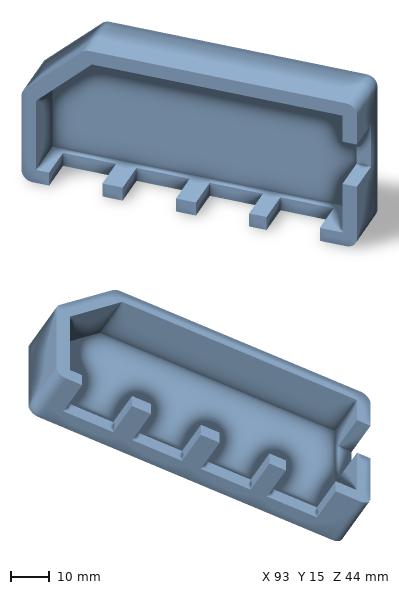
import cadquery as cq

length = 93.0
depth = 15.0
height = 44.0
wall = 4.0
floor_thickness = 3.0
corner_radius = 3.0

outer_slope_run = 17.6
outer_slope_rise = 16.6
inner_slope_run = 15.5
inner_slope_rise = 14.7

notch_depth = 10.15
bottom_notch_width = 14.75
bottom_notch_starts = (7.65, 28.05, 48.35, 67.95)
side_notch_bottom = 19.0
side_notch_height = 13.0


def clipped_block(x_min, x_max, z_min, z_max, run, rise, y_length):
    """Block from Y = 0 to y_length with its low-X, high-Z corner cut off."""
    outline = [
        (x_min, z_min),
        (x_max, z_min),
        (x_max, z_max),
        (x_min + run, z_max),
        (x_min, z_max - rise),
    ]
    return cq.Workplane("XZ").polyline(outline).close().extrude(-y_length)


def make_tray():
    body = clipped_block(0, length, 0, height, outer_slope_run, outer_slope_rise, depth)
    body = body.edges("|Y").fillet(corner_radius)
    pocket = clipped_block(
        wall, length - wall, wall, height - wall,
        inner_slope_run, inner_slope_rise, depth - floor_thickness,
    )
    return body.cut(pocket)


def notch(x_start, z_start, x_size, z_size):
    """Rectangular cutter reaching from the open side to the notch depth."""
    cutter = cq.Workplane("XY").box(x_size, notch_depth, z_size, centered=False)
    return cutter.translate((x_start, 0, z_start))


def cut_bottom_notches(tray):
    for x_start in bottom_notch_starts:
        tray = tray.cut(notch(x_start, 0, bottom_notch_width, wall))
    return tray


def cut_side_notch(tray):
    return tray.cut(notch(length - wall, side_notch_bottom, wall, side_notch_height))


result = cut_side_notch(cut_bottom_notches(make_tray()))